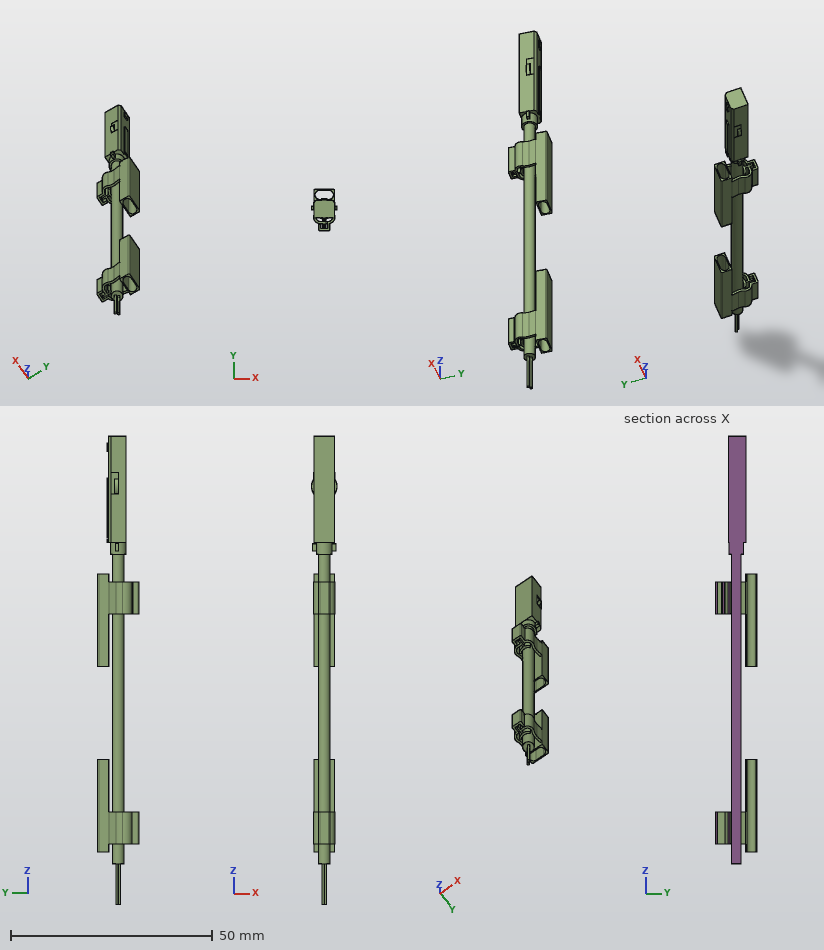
import cadquery as cq
import math


total_height = 116.3

wire_diameter = 0.6
wire_offset = 0.3
wire_length = 10.1

cable_diameter = 2.9

housing_height = 26.4
housing_width = 5.1
housing_front_y = -2.0
housing_back_y = 2.5
housing_chamfer = 0.6
housing_bottom = total_height - housing_height

collar_diameter = 2 * abs(housing_front_y)
collar_height = 2.9

ear_span = 5.9
ear_depth = 0.7
ear_height = 1.9
ear_top_gap = 0.2
ear_center_y = 0.3

bump_span = 6.4
bump_half_chord = 1.9
bump_depth = 0.9
bump_back_y = 0.9
bump_z = 103.9

pad_thickness = 0.06
pad_bottom = bump_z - bump_half_chord
pad_height = 5.3
pad_front_y = bump_back_y - bump_depth
pad_back_y = housing_back_y - housing_chamfer

rib_width = 1.4
rib_height = 0.3
rib_spans = [(housing_bottom, 90.8), (91.2, 106.0), (112.5, 114.7)]

tube_width = 5.1
tube_back_y = 5.18
tube_front_y = 2.3
tube_length = 23.0
tube_wall = 0.29
tube_back_radius = 0.3

band_length = 8.0
band_inset = 2.0
sheet = 0.6

bulge_radius = 1.69
bulge_half_width = 2.7
bulge_y = -1.7
bulge_center_x = bulge_half_width - bulge_radius
neck_radius = 3.3
neck_half_width = 2.27
neck_end_y = 0.52

hook_width = 2.8
hook_front_y = -5.18
hook_corner_radius = 0.29
hook_lip_y = -3.6
tongue_x = 0.17
tongue_thickness = 0.5
tongue_front_y = -4.3

cradle_inner_diameter = 3.4
cradle_outer_diameter = 4.5
cradle_half_angle = math.radians(50)

upper_clip_top = 82.1
lower_clip_bottom = 13.0
clips_middle_z = (upper_clip_top + lower_clip_bottom) / 2


def block(x_range, y_range, z_range):
    """Box between the two limits given along each axis."""
    lows, highs = zip(x_range, y_range, z_range)
    size = [high - low for low, high in zip(lows, highs)]
    return cq.Workplane("XY").box(*size, centered=False).translate(lows)


def cylinder(diameter, bottom, top):
    """Upright cylinder on the Z axis."""
    return cq.Workplane("XY").workplane(offset=bottom).circle(diameter / 2).extrude(top - bottom)


def make_wires():
    """Two bare wires on a diagonal, reaching a little way into the cable end."""
    overlap = wire_diameter
    return (
        cq.Workplane("XY")
        .pushPoints([(-wire_offset, wire_offset), (wire_offset, -wire_offset)])
        .circle(wire_diameter / 2)
        .extrude(wire_length + overlap)
    )


def make_housing():
    """Connector housing with chamfered back corners and ribs along its back."""
    half = housing_width / 2
    body = block((-half, half), (housing_front_y, housing_back_y), (housing_bottom, total_height))
    body = body.edges("|Z and >Y").chamfer(housing_chamfer)
    for rib_bottom, rib_top in rib_spans:
        rib = block(
            (-rib_width / 2, rib_width / 2),
            (housing_back_y, housing_back_y + rib_height),
            (rib_bottom, rib_top),
        )
        body = body.union(rib)
    return body


def make_side_bumps():
    """Arched bumps on both sides of the housing, made as one lens that crosses it."""
    half = housing_width / 2
    return (
        cq.Workplane("XZ", origin=(0, bump_back_y, bump_z))
        .moveTo(-half, -bump_half_chord)
        .threePointArc((-bump_span / 2, 0), (-half, bump_half_chord))
        .lineTo(half, bump_half_chord)
        .threePointArc((bump_span / 2, 0), (half, -bump_half_chord))
        .close()
        .extrude(bump_depth)
    )


def make_side_pads():
    """Thin raised pads under the side bumps, made as one bar that crosses the housing."""
    half = housing_width / 2 + pad_thickness
    return block((-half, half), (pad_front_y, pad_back_y), (pad_bottom, pad_bottom + pad_height))


def make_ears():
    """Bar across the collar whose ends stand out as two ears."""
    top = housing_bottom - ear_top_gap
    return block(
        (-ear_span / 2, ear_span / 2),
        (ear_center_y - ear_depth / 2, ear_center_y + ear_depth / 2),
        (top - ear_height, top),
    )


def make_cable_assembly():
    """Wires, cable, collar and connector housing as one body."""
    cable = cylinder(cable_diameter, wire_length, housing_bottom)
    collar = cylinder(collar_diameter, housing_bottom - collar_height, housing_bottom)
    return (
        cable.union(make_wires())
        .union(collar)
        .union(make_ears())
        .union(make_housing())
        .union(make_side_pads())
        .union(make_side_bumps())
    )


def make_clip_tube():
    """Flat tube at the back of the clip, with its top at Z = 0."""
    half = tube_width / 2
    tube = block((-half, half), (tube_front_y, tube_back_y), (-tube_length, 0))
    tube = tube.edges("|Z and >Y").fillet(tube_back_radius)
    bore_length = tube_width - 2 * tube_wall
    bore_depth = tube_back_y - tube_front_y - 2 * tube_wall
    bore = (
        cq.Workplane("XY")
        .center(0, (tube_back_y + tube_front_y) / 2)
        .slot2D(bore_length, bore_depth)
        .extrude(-tube_length)
    )
    return tube.cut(bore)


def on_circle(center, radius, angle):
    """Point on a circle at an angle in radians."""
    return (center[0] + radius * math.cos(angle), center[1] + radius * math.sin(angle))


def make_arm(end_x):
    """Right-hand arm: from the tube through the neck and around the bulge until X = end_x."""
    bulge_center = (bulge_center_x, bulge_y)
    neck_center_x = neck_half_width + neck_radius
    center_distance = neck_radius + bulge_radius
    tangent_angle = math.acos((neck_center_x - bulge_center_x) / center_distance)
    neck_center = (neck_center_x, bulge_y + center_distance * math.sin(tangent_angle))

    def face_points(inset):
        """Points along the face that lies this far inside the outside face."""
        inset_neck = neck_radius + inset
        inset_bulge = bulge_radius - inset
        neck_start = math.pi - math.asin((neck_end_y - neck_center[1]) / inset_neck)
        neck_stop = math.pi + tangent_angle
        bulge_stop = -math.acos((end_x - bulge_center_x) / inset_bulge)
        return [
            (tube_width / 2 - inset, tube_front_y),
            on_circle(neck_center, inset_neck, neck_start),
            on_circle(neck_center, inset_neck, (neck_start + neck_stop) / 2),
            on_circle(bulge_center, inset_bulge, tangent_angle),
            on_circle(bulge_center, inset_bulge, (tangent_angle + bulge_stop) / 2),
            on_circle(bulge_center, inset_bulge, bulge_stop),
        ]

    outer = face_points(0)
    inner = face_points(sheet)
    return (
        cq.Workplane("XY")
        .moveTo(*outer[0])
        .lineTo(*outer[1])
        .threePointArc(outer[2], outer[3])
        .threePointArc(outer[4], outer[5])
        .lineTo(*inner[5])
        .threePointArc(inner[4], inner[3])
        .threePointArc(inner[2], inner[1])
        .lineTo(*inner[0])
        .close()
        .extrude(-band_length)
    )


def make_hook():
    """Channel at the front of the right arm, open toward the cable, with a free lip on the left."""
    half = hook_width / 2
    wall_top_y = bulge_y - math.sqrt(bulge_radius**2 - (half - bulge_center_x) ** 2)
    hook = block((-half, half), (hook_front_y, wall_top_y), (-band_length, 0))
    hook = hook.edges("|Z and <Y").fillet(hook_corner_radius)
    channel = block(
        (-half + sheet, half - sheet),
        (hook_front_y + sheet, wall_top_y),
        (-band_length, 0),
    )
    lip_relief = block((-half, 0), (hook_lip_y, wall_top_y), (-band_length, 0))
    return hook.cut(channel).cut(lip_relief)


def make_tongue():
    """Bent end of the left arm: a floor, and a blade from the cradle down into the hook."""
    floor_y = bulge_y - bulge_radius
    cradle_back_y = -(cradle_inner_diameter + cradle_outer_diameter) / 4
    floor = block((-bulge_center_x, tongue_x), (floor_y, floor_y + sheet), (-band_length, 0))
    blade = block(
        (tongue_x - tongue_thickness / 2, tongue_x + tongue_thickness / 2),
        (tongue_front_y, cradle_back_y),
        (-band_length, 0),
    )
    return floor.union(blade)


def make_cradle():
    """Curved support around the front of the cable."""
    front = -math.pi / 2
    left = front - cradle_half_angle
    right = front + cradle_half_angle
    center = (0, 0)
    inner_radius = cradle_inner_diameter / 2
    outer_radius = cradle_outer_diameter / 2
    return (
        cq.Workplane("XY")
        .moveTo(*on_circle(center, inner_radius, left))
        .threePointArc((0, -inner_radius), on_circle(center, inner_radius, right))
        .lineTo(*on_circle(center, outer_radius, right))
        .threePointArc((0, -outer_radius), on_circle(center, outer_radius, left))
        .close()
        .extrude(-band_length)
    )


def make_clip():
    """Cable clip with its top at Z = 0."""
    hook_arm = make_arm(hook_width / 2 - sheet)
    tongue_arm = make_arm(bulge_center_x).mirror("YZ")
    band = hook_arm.union(tongue_arm).union(make_hook())
    band = band.union(make_tongue()).union(make_cradle())
    return make_clip_tube().union(band.translate((0, 0, -band_inset)))


cable_assembly = make_cable_assembly()

clips = []
for turn in (0, 180):
    clip = make_clip().translate((0, 0, upper_clip_top - clips_middle_z))
    clip = clip.rotate((0, 0, 0), (0, 1, 0), turn)
    clips.append(clip.translate((0, 0, clips_middle_z)))

result = cq.Compound.makeCompound([cable_assembly.val(), *[clip.val() for clip in clips]])